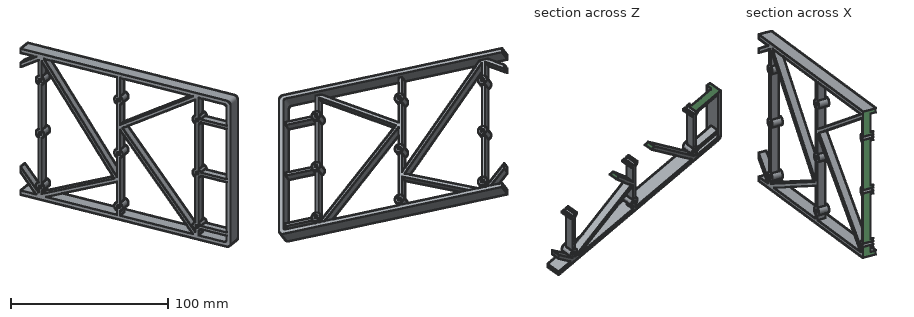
import cadquery as cq
import math

length = 153.0
depth = 9.6
height = 104.0
frame_wall = 3.0
outer_corner_radius = 3.0
inner_corner_radius = 1.8

lattice_depth = 5.8
column_width = 2.3
column_count = 3
column_spacing = 57.0
first_column_x = 14.2
column_xs = [first_column_x + i * column_spacing for i in range(column_count)]
cross_rib_width = 2.3

boss_diameter = 6.1
boss_hole_diameter = 2.0
boss_depth = 7.6
boss_rows = 3
boss_spacing = 38.0
lowest_boss_z = 9.0
boss_zs = [lowest_boss_z + i * boss_spacing for i in range(boss_rows)]

diagonal_width = 2.6
apex_offset = 1.0
left_apex_z = 27.8
left_top_z = 102.5
left_bottom_z = 2.5
right_apex_z = 66.1
right_top_z = 101.3
right_bottom_z = 1.7


def box(x_min, x_max, z_min, z_max, y_size):
    """Box starting at the front face (Y = 0)."""
    block = cq.Workplane("XY").box(x_max - x_min, y_size, z_max - z_min, centered=False)
    return block.translate((x_min, 0, z_min))


def cylinder(x, z, diameter, y_size):
    """Cylinder along +Y starting at the front face."""
    return cq.Workplane("XZ", origin=(x, 0, z)).circle(diameter / 2).extrude(-y_size)


def diagonal(start, end):
    """Straight bar centred on the line between two (x, z) points."""
    run = end[0] - start[0]
    rise = end[1] - start[1]
    angle = math.degrees(math.atan2(rise, run))
    middle = ((start[0] + end[0]) / 2, 0, (start[1] + end[1]) / 2)
    bar = cq.Workplane("XZ").rect(math.hypot(run, rise), diagonal_width).extrude(-lattice_depth)
    return bar.rotate((0, 0, 0), (0, 1, 0), -angle).translate(middle)


def make_frame():
    outer = box(0, length, 0, height, depth).edges("|Y and >X").fillet(outer_corner_radius)
    opening = box(0, length - frame_wall, frame_wall, height - frame_wall, depth)
    return outer.cut(opening.edges("|Y and >X").fillet(inner_corner_radius))


def make_columns():
    columns = cq.Workplane("XY")
    for x in column_xs:
        columns = columns.add(box(x - column_width / 2, x + column_width / 2,
                                  frame_wall / 2, height - frame_wall / 2, lattice_depth))
    return columns.combine()


def make_cross_ribs():
    ribs = cq.Workplane("XY")
    for z in boss_zs:
        ribs = ribs.add(box(column_xs[-1], length - frame_wall / 2,
                            z - cross_rib_width / 2, z + cross_rib_width / 2, lattice_depth))
    return ribs.combine()


def make_diagonals():
    first_x, middle_x, last_x = column_xs
    left_apex = (middle_x - apex_offset, left_apex_z)
    right_apex = (middle_x + apex_offset, right_apex_z)
    left_pair = diagonal((first_x, left_top_z), left_apex).union(
        diagonal((first_x, left_bottom_z), left_apex))
    right_pair = diagonal(right_apex, (last_x, right_top_z)).union(
        diagonal(right_apex, (last_x, right_bottom_z)))
    repeated_pair = right_pair.translate((first_x - last_x, 0, 0))
    envelope = box(0, length, 0, height, lattice_depth)
    return left_pair.union(right_pair).union(repeated_pair).intersect(envelope)


result = make_frame().union(make_columns()).union(make_cross_ribs()).union(make_diagonals())
boss_centres = [(x, z) for x in column_xs for z in boss_zs]
for x, z in boss_centres:
    result = result.union(cylinder(x, z, boss_diameter, boss_depth))
for x, z in boss_centres:
    result = result.cut(cylinder(x, z, boss_hole_diameter, boss_depth))